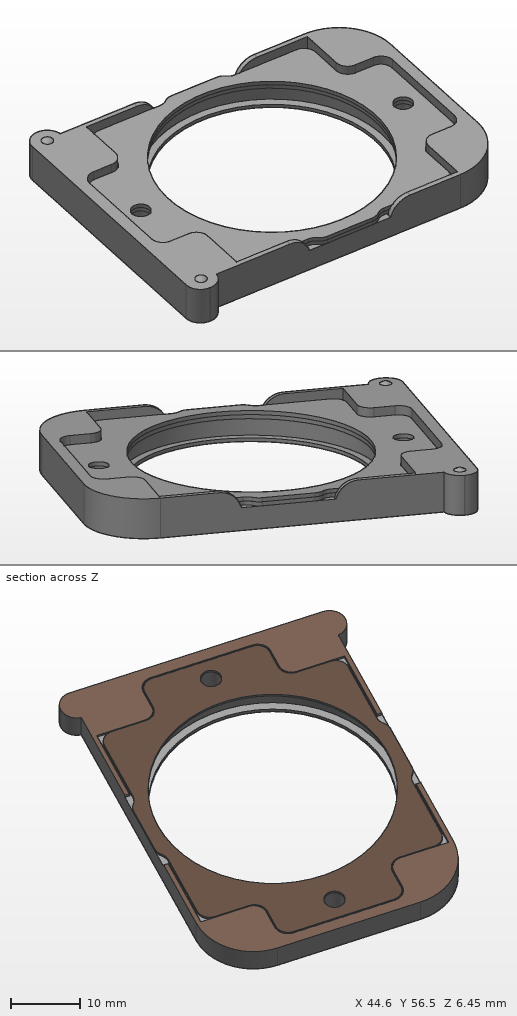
import cadquery as cq
import math


frame_length = 56.45
near_end_y = -28.3
frame_width = 40.3
frame_height = 6.1
far_corner_radius = 9.0
overall_width = 44.6
lug_length = 5.1
lug_radius = 2.5

bump_diameter = 1.8
bump_height = 0.35

window_diameter = 35.9
chamber_diameter = 38.4
lip_thickness = 0.55
screw_hole_diameter = 3.0
screw_hole_offset = 22.8

pocket_width = 38.7
pocket_middle_length = 38.4
pocket_length = 52.6
neck_width = 19.85
corner_radius = 2.0
pocket_floor = 3.5

notch_floor_length = 14.1
notch_edge_radius = 3.5

plate_count = 2
plate_thickness = 0.6
side_clearance = 0.2
shoulder_clearance = 0.05
neck_clearance = 0.1
ear_flat_length = 7.85

bump_x = overall_width / 2 - lug_radius
bump_y = near_end_y + lug_length - lug_radius


def cross_prism(width, middle_length, length, narrow_width, height):
    """Wide middle block with a narrower neck running out at both ends, centred, standing on Z = 0."""
    middle = cq.Workplane("XY").box(width, middle_length, height, centered=(True, True, False))
    neck = cq.Workplane("XY").box(narrow_width, length, height, centered=(True, True, False))
    return middle.union(neck)


def upright_cylinder(diameter, x, y, bottom, top):
    return cq.Workplane("XY", origin=(x, y, bottom)).circle(diameter / 2).extrude(top - bottom)


def cut_through_openings(body, height):
    """Cut the round window and the two screw holes through a body that stands on Z = 0."""
    body = body.cut(upright_cylinder(window_diameter, 0, 0, 0, height))
    for y in (-screw_hole_offset, screw_hole_offset):
        body = body.cut(upright_cylinder(screw_hole_diameter, 0, y, 0, height))
    return body


def make_frame_blank():
    """Tray block that ends inside the near bar, whose rounded ends stick out sideways as the lugs."""
    tray_length = near_end_y + frame_length - bump_y
    tray = (
        cq.Workplane("XY", origin=(0, bump_y + tray_length / 2, 0))
        .box(frame_width, tray_length, frame_height, centered=(True, True, False))
        .edges("|Z and >Y")
        .fillet(far_corner_radius)
    )
    near_bar = (
        cq.Workplane("XY", origin=(0, near_end_y + lug_length / 2, 0))
        .box(overall_width, lug_length, frame_height, centered=(True, True, False))
        .edges("|Z")
        .fillet(lug_radius)
    )
    return tray.union(near_bar)


def make_pocket():
    height = frame_height - pocket_floor
    pocket = cross_prism(pocket_width, pocket_middle_length, pocket_length, neck_width, height)
    zone_half_width = (neck_width + pocket_width) / 4
    neck_zone = cq.selectors.BoxSelector(
        (-zone_half_width, -pocket_length, 0), (zone_half_width, pocket_length, height)
    )
    pocket = pocket.edges("|Z").edges(neck_zone).fillet(corner_radius)
    return pocket.translate((0, 0, pocket_floor))


def make_notch():
    """Notch whose ends curve up from the floor and run tangent into the top of the wall."""
    depth = frame_height - pocket_floor
    floor_y = notch_floor_length / 2
    run = math.sqrt(2 * notch_edge_radius * depth - depth**2)
    top_y = floor_y + run
    return (
        cq.Workplane("YZ", origin=(-frame_width / 2, 0, 0))
        .moveTo(-floor_y, pocket_floor)
        .lineTo(floor_y, pocket_floor)
        .radiusArc((top_y, frame_height), notch_edge_radius)
        .lineTo(-top_y, frame_height)
        .radiusArc((-floor_y, pocket_floor), notch_edge_radius)
        .close()
        .extrude(frame_width)
    )


def make_bump(x):
    """Ball sunk into a lug so that only a shallow dome stands above the top face."""
    ball_radius = ((bump_diameter / 2) ** 2 + bump_height**2) / (2 * bump_height)
    ball_z = frame_height + bump_height - ball_radius
    return cq.Workplane("XY").sphere(ball_radius).translate((x, bump_y, ball_z))


def make_frame():
    frame = cut_through_openings(make_frame_blank(), frame_height)
    frame = frame.cut(upright_cylinder(chamber_diameter, 0, 0, lip_thickness, pocket_floor))
    frame = frame.cut(make_pocket()).cut(make_notch())
    for side in (-1, 1):
        frame = frame.union(make_bump(side * bump_x))
    return frame


def make_ears(plate_width):
    """Strip across the plate that reaches both frame sides, blended into the plate by S-curves."""
    inner_x = plate_width / 2
    outer_x = frame_width / 2
    middle_x = (inner_x + outer_x) / 2
    half_step = middle_x - inner_x
    blend = math.sqrt(2 * corner_radius * half_step - half_step**2)
    flat_y = ear_flat_length / 2
    middle_y = flat_y + blend
    end_y = middle_y + blend
    return (
        cq.Workplane("XY")
        .moveTo(-inner_x, -end_y)
        .lineTo(inner_x, -end_y)
        .radiusArc((middle_x, -middle_y), corner_radius)
        .radiusArc((outer_x, -flat_y), -corner_radius)
        .lineTo(outer_x, flat_y)
        .radiusArc((middle_x, middle_y), -corner_radius)
        .radiusArc((inner_x, end_y), corner_radius)
        .lineTo(-inner_x, end_y)
        .radiusArc((-middle_x, middle_y), corner_radius)
        .radiusArc((-outer_x, flat_y), -corner_radius)
        .lineTo(-outer_x, -flat_y)
        .radiusArc((-middle_x, -middle_y), -corner_radius)
        .radiusArc((-inner_x, -end_y), corner_radius)
        .close()
        .extrude(plate_thickness)
    )


def make_plate(bottom):
    plate_width = pocket_width - 2 * side_clearance
    plate = cross_prism(
        plate_width,
        pocket_middle_length - 2 * shoulder_clearance,
        pocket_length - 2 * neck_clearance,
        neck_width - 2 * neck_clearance,
        plate_thickness,
    )
    plate = plate.edges("|Z").fillet(corner_radius).union(make_ears(plate_width))
    return cut_through_openings(plate, plate_thickness).translate((0, 0, bottom))


frame = make_frame()
plates = [make_plate(pocket_floor + level * plate_thickness) for level in range(plate_count)]

result = cq.Compound.makeCompound([frame.val(), *[plate.val() for plate in plates]])